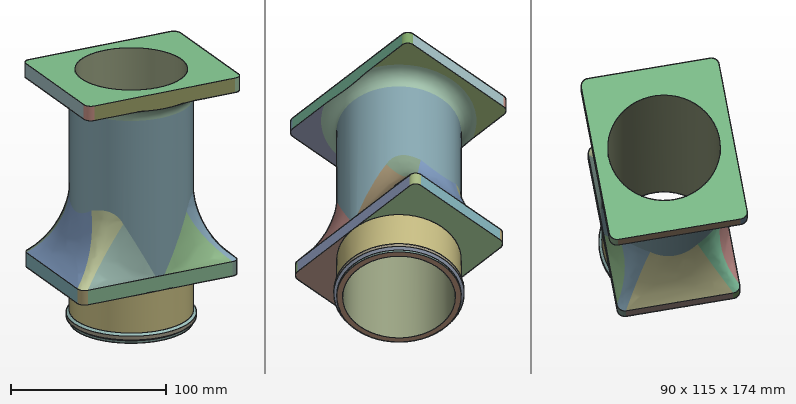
import cadquery as cq
import math

total_height = 174.0
pipe_radius = 40.0
bore_radius = 36.2

flange_thickness = 10.1
corner_radius = 5.0
top_width = 90.0
top_length = 112.4
top_offset_y = 0.7
top_fillet = 10.0
lower_width = 2 * pipe_radius
lower_length = 115.0
lower_bottom = 34.8
lower_top = lower_bottom + flange_thickness

bead_radius = 42.0
bead_bottom = 1.7
bead_top = 7.1
bead_chamfer = 1.4

crest_middle_z = 82.3
crest_peak_z = 89.5
crest_peak_angle = 36.0
crest_inner_z = 87.9
crest_inner_angle = 22.8
crest_inner_twist = 0.2
crest_outer_z = 81.8
crest_outer_angle = 54.6
crest_outer_twist = -0.6
crest_inset = 0.14
crest_lean = math.radians(4)
crest_rise = crest_inset / math.tan(crest_lean)
crest_radius = pipe_radius - crest_inset


def flange(width, length, bottom):
    plate = cq.Workplane("XY").workplane(offset=bottom).rect(width, length)
    return plate.extrude(flange_thickness).edges("|Z").fillet(corner_radius)


def make_pipe():
    """Outer pipe with its end bead, still without the bore."""
    return (
        cq.Workplane("XZ")
        .lineTo(pipe_radius, 0)
        .lineTo(pipe_radius, bead_bottom)
        .lineTo(bead_radius, bead_bottom + bead_chamfer)
        .lineTo(bead_radius, bead_top - bead_chamfer)
        .lineTo(pipe_radius, bead_top)
        .lineTo(pipe_radius, total_height)
        .lineTo(0, total_height)
        .close()
        .revolve(360, (0, 0, 0), (0, 1, 0))
        .rotate((0, 0, 0), (0, 0, 1), 180)
    )


def make_top_flange():
    """Top flange and the round fillet below it, trimmed by the flange sides."""
    bottom = total_height - flange_thickness
    plate = flange(top_width, top_length, bottom).translate((0, top_offset_y, 0))
    outer = pipe_radius + top_fillet
    bend = top_fillet * math.sqrt(0.5)
    collar = (
        cq.Workplane("XZ")
        .moveTo(0, bottom - top_fillet)
        .lineTo(pipe_radius, bottom - top_fillet)
        .threePointArc((outer - bend, bottom - top_fillet + bend), (outer, bottom))
        .lineTo(0, bottom)
        .close()
        .revolve(360, (0, 0, 0), (0, 1, 0))
    )
    trim = cq.Workplane("XY").box(top_width, top_length, 2 * total_height)
    return plate.union(collar.intersect(trim.translate((0, top_offset_y, 0))))


def crest_point(angle, z, twist=0.0):
    """Point inside the pipe wall, raised so that the blend surfaces at height z."""
    turn = math.radians(angle) - twist * crest_rise / pipe_radius
    return cq.Vector(crest_radius * math.sin(turn), -crest_radius * math.cos(turn), z + crest_rise)


def flare_arc(crest, foot, twist=0.0):
    """Arc leaving the pipe at a grazing angle and ending on the flange outline."""
    around = twist / crest_radius
    outward = math.tan(crest_lean) / crest_radius
    x = crest.x * outward - crest.y * around
    y = crest.y * outward + crest.x * around
    return cq.Edge.makeTangentArc(crest, cq.Vector(x, y, -1), foot)


def mirrored(point):
    return cq.Vector(-point.x, point.y, point.z)


def make_flare():
    """Blend from the -Y half of the lower flange up to the pipe."""
    half_width = lower_width / 2
    half_length = lower_length / 2
    straight_x = half_width - corner_radius
    straight_y = half_length - corner_radius
    bend = corner_radius * math.sqrt(0.5)

    side = cq.Vector(crest_radius, 0, lower_top)
    side_foot = cq.Vector(half_width, -straight_y, lower_top)
    corner_foot = cq.Vector(straight_x + bend, -straight_y - bend, lower_top)
    end_foot = cq.Vector(straight_x, -half_length, lower_top)
    inner = crest_point(crest_inner_angle, crest_inner_z, crest_inner_twist)
    peak = crest_point(crest_peak_angle, crest_peak_z)
    outer = crest_point(crest_outer_angle, crest_outer_z, crest_outer_twist)

    side_crest = [outer]
    side_steps = 6
    for step in range(1, side_steps):
        share = 1 - step / side_steps
        y = outer.y * share
        x = math.sqrt(crest_radius**2 - y**2)
        side_crest.append(cq.Vector(x, y, lower_top + (outer.z - lower_top) * share))
    side_crest.append(side)

    end_edge = cq.Edge.makeLine(mirrored(end_foot), end_foot)
    end_arcs = [
        flare_arc(inner, end_foot, crest_inner_twist),
        flare_arc(mirrored(inner), mirrored(end_foot), -crest_inner_twist),
    ]
    middle_crest = []
    middle_points = []
    for share in (-0.67, -0.33, 0, 0.33, 0.67):
        twist = crest_inner_twist * share
        crest_z = crest_middle_z + (crest_inner_z - crest_middle_z) * share**2
        crest = crest_point(crest_inner_angle * share, crest_z, twist)
        foot = cq.Vector(straight_x * share, -half_length, lower_top)
        arc = flare_arc(crest, foot, twist)
        middle_crest.append(crest)
        middle_points += [arc.positionAt(along) for along in (0.15, 0.3, 0.5, 0.75)]
    end_crest = cq.Edge.makeSpline([mirrored(inner)] + middle_crest + [inner])
    end_face = cq.Face.makeNSidedSurface([end_crest, end_edge] + end_arcs, middle_points)

    faces = [end_face]
    crest_edges = [end_crest]
    foot_edges = [end_edge]
    for flip in (False, True):
        place = mirrored if flip else cq.Vector
        corner_crest = cq.Edge.makeSpline([place(p) for p in (inner, peak, outer)])
        corner_edge = cq.Edge.makeThreePointArc(place(end_foot), place(corner_foot), place(side_foot))
        inner_arc = end_arcs[1] if flip else end_arcs[0]
        twist = -crest_outer_twist if flip else crest_outer_twist
        outer_arc = flare_arc(place(outer), place(side_foot), twist)
        side_spline = cq.Edge.makeSpline([place(p) for p in side_crest])
        side_edge = cq.Edge.makeLine(place(side_foot), place(side))
        faces.append(cq.Face.makeNSidedSurface([corner_crest, inner_arc, corner_edge, outer_arc], []))
        faces.append(cq.Face.makeNSidedSurface([side_spline, outer_arc, side_edge], []))
        crest_edges += [corner_crest, side_spline]
        foot_edges += [corner_edge, side_edge]

    center = cq.Vector(0, 0, lower_top)
    spokes = [cq.Edge.makeLine(mirrored(side), center), cq.Edge.makeLine(center, side)]
    floor_outline = cq.Wire.combine(foot_edges + spokes)[0]
    faces.append(cq.Face.makeFromWires(floor_outline))
    for crest_edge in crest_edges:
        start_spoke = cq.Edge.makeLine(center, crest_edge.startPoint())
        end_spoke = cq.Edge.makeLine(crest_edge.endPoint(), center)
        faces.append(cq.Face.makeNSidedSurface([start_spoke, crest_edge, end_spoke], []))
    return cq.Workplane(cq.Solid.makeSolid(cq.Shell.makeShell(faces)))


flare = make_flare()
body = make_pipe().union(make_top_flange()).union(flange(lower_width, lower_length, lower_bottom))
body = body.union(flare).union(flare.mirror("XZ"))
bore = cq.Workplane("XY").circle(bore_radius).extrude(total_height)
result = body.cut(bore)